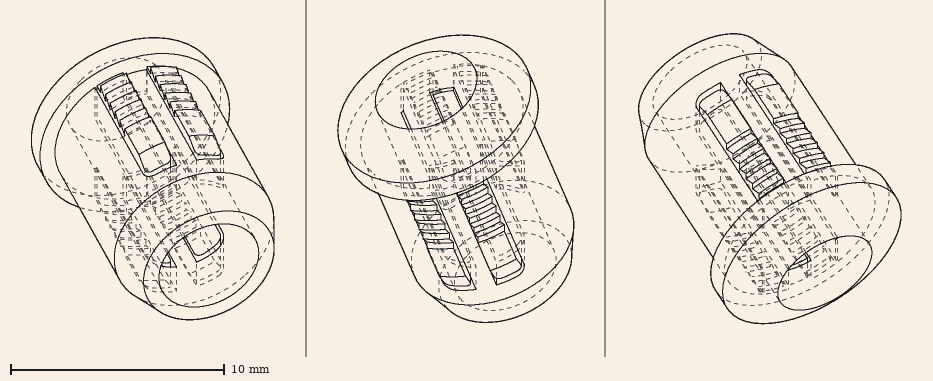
import cadquery as cq
import math

total_length = 12.5
bore_radius = 5.0 / 2
body_radius = 8.0 / 2
flange_radius = 9.5 / 2
flange_cone_angle = 60.0
flange_back_x = 2.5
taper_start_x = 10.5
taper_angle = 20.0

flange_cone_length = (flange_radius - bore_radius) / math.tan(math.radians(flange_cone_angle))
taper_drop = (total_length - taper_start_x) * math.tan(math.radians(taper_angle))
end_radius = body_radius - taper_drop

slot_inner_y = 0.5
slot_outer_y = 2.0
slot_end_x = 9.5
slot_corner_radius = 0.5
strip_end_gap = 0.2

finger_side_gap = 0.1
finger_end_gap = 0.3
finger_corner_radius = 0.3
finger_inner_y = slot_inner_y + finger_side_gap
finger_outer_y = slot_outer_y - finger_side_gap
finger_end_x = slot_end_x - finger_end_gap

barb_height = 0.375
barb_radius = body_radius + barb_height
tooth_start_x = 3.0
tooth_count = 5
tooth_pitch = 0.65
teeth_end_x = tooth_start_x + tooth_count * tooth_pitch
ramp_angle = 20.0
ramp_length = barb_height / math.tan(math.radians(ramp_angle))
ramp_start_x = finger_end_x - ramp_length

cut_height = 2 * flange_radius


def revolve_about_x(profile):
    return profile.close().revolve(360, (0, 0, 0), (1, 0, 0))


def make_body():
    """Flanged sleeve with a plain bore and a tapered far end."""
    profile = (
        cq.Workplane("XY")
        .moveTo(0, bore_radius)
        .lineTo(flange_cone_length, flange_radius)
        .lineTo(flange_back_x, flange_radius)
        .lineTo(flange_back_x, body_radius)
        .lineTo(taper_start_x, body_radius)
        .lineTo(total_length, end_radius)
        .lineTo(total_length, bore_radius)
    )
    return revolve_about_x(profile)


def make_barbed_sleeve():
    """Full ring with the fingers' toothed profile, starting inside the flange."""
    profile = (
        cq.Workplane("XY")
        .moveTo(flange_cone_length, bore_radius)
        .lineTo(flange_cone_length, body_radius)
        .lineTo(tooth_start_x, body_radius)
    )
    for i in range(tooth_count):
        tooth_x = tooth_start_x + i * tooth_pitch
        profile = profile.lineTo(tooth_x, barb_radius)
        profile = profile.lineTo(tooth_x + tooth_pitch, body_radius)
    profile = (
        profile.lineTo(teeth_end_x, barb_radius)
        .lineTo(ramp_start_x, barb_radius)
        .lineTo(finger_end_x, body_radius)
        .lineTo(finger_end_x, bore_radius)
    )
    return revolve_about_x(profile)


def make_bar(start_x, end_x, low_y, high_y):
    """Bar through the whole height of the part, for cutting or trimming."""
    return cq.Workplane("XY").box(
        end_x - start_x, high_y - low_y, 2 * cut_height
    ).translate(((start_x + end_x) / 2, (low_y + high_y) / 2, 0))


def make_slots():
    """U-shaped opening: two slots joined along the flange, cut through both walls."""
    slot = (
        make_bar(flange_back_x, slot_end_x, slot_inner_y, slot_outer_y)
        .edges("|Z and >X and >Y")
        .fillet(slot_corner_radius)
    )
    strip_gap = make_bar(flange_back_x, flange_back_x + strip_end_gap, -slot_inner_y, slot_inner_y)
    return slot.union(slot.mirror("XZ")).union(strip_gap)


def make_fingers():
    """Four barbed fingers, two on top and two underneath."""
    bar = (
        make_bar(flange_cone_length, finger_end_x, finger_inner_y, finger_outer_y)
        .edges("|Z and >X")
        .fillet(finger_corner_radius)
    )
    bars = bar.union(bar.mirror("XZ"))
    return make_barbed_sleeve().intersect(bars)


result = make_body().cut(make_slots()).union(make_fingers())